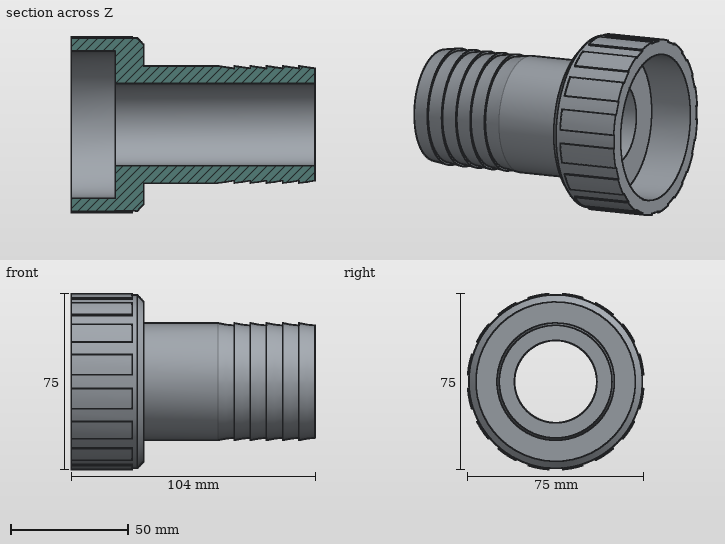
import cadquery as cq

total_length = 104.0
nut_length = 31.0
nut_radius = 74.0 / 2
chamfer_length = 2.8
chamfer_depth = 3.0
socket_radius = 62.7 / 2
socket_depth = 18.7
bore_radius = 35.0 / 2
tail_radius = 50.1 / 2

rib_count = 16
rib_radius = 37.6
rib_length = 26.0
rib_angle = 13.5
rib_pitch = 360 / rib_count

barb_count = 6
barb_start = 62.5
barb_drop = 1.0
barb_pitch = (total_length - barb_start) / barb_count


def make_body():
    """Revolve the nut and the barbed tail as one stepped profile."""
    profile = (
        cq.Workplane("XY")
        .lineTo(0, nut_radius)
        .lineTo(nut_length - chamfer_length, nut_radius)
        .lineTo(nut_length, nut_radius - chamfer_depth)
        .lineTo(nut_length, tail_radius)
    )
    for index in range(barb_count):
        crest = barb_start + index * barb_pitch
        profile = profile.lineTo(crest, tail_radius)
        profile = profile.lineTo(crest + barb_pitch, tail_radius - barb_drop)
    profile = profile.lineTo(total_length, 0).close()
    return profile.revolve(360, (0, 0, 0), (1, 0, 0))


def make_rib(center_angle):
    """One ring sector standing proud of the nut, rooted inside its wall."""
    root_radius = (socket_radius + nut_radius) / 2
    return (
        cq.Workplane("XY")
        .moveTo(0, root_radius)
        .lineTo(0, rib_radius)
        .lineTo(rib_length, rib_radius)
        .lineTo(rib_length, root_radius)
        .close()
        .revolve(rib_angle, (0, 0, 0), (1, 0, 0))
        .rotate((0, 0, 0), (1, 0, 0), center_angle - rib_angle / 2)
    )


def make_cylinder(radius, length):
    """A cylinder along X from the open face of the nut."""
    return cq.Workplane("YZ").circle(radius).extrude(length)


result = make_body()
for rib_index in range(rib_count):
    result = result.union(make_rib((rib_index + 0.5) * rib_pitch))
result = result.cut(make_cylinder(socket_radius, socket_depth))
result = result.cut(make_cylinder(bore_radius, total_length))